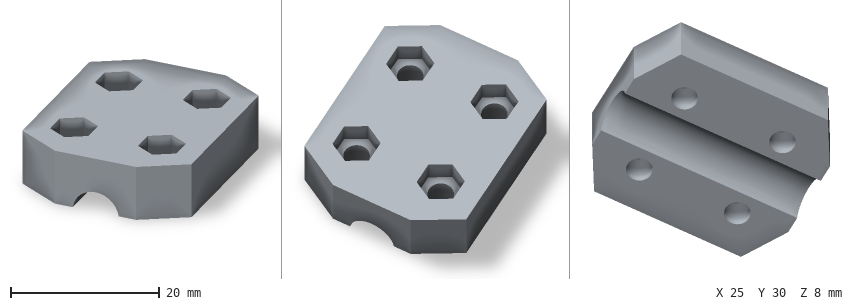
import cadquery as cq
import math

length = 30.0
width = 25.0
height = 8.0
corner_run = 6.5
corner_angle = 30.0
corner_rise = corner_run * math.tan(math.radians(corner_angle))

hole_spacing_x = 13.0
hole_spacing_y = length / 2
hole_diameter = 3.6
nut_corner_diameter = 6.5
nut_depth = 3.0

channel_radius = 3.42
channel_depth = 2.95


def make_block():
    half_x = width / 2
    half_y = length / 2
    flat_x = half_x - corner_run
    flat_y = half_y - corner_rise
    outline = [
        (half_x, flat_y),
        (flat_x, half_y),
        (-flat_x, half_y),
        (-half_x, flat_y),
        (-half_x, -flat_y),
        (-flat_x, -half_y),
        (flat_x, -half_y),
        (half_x, -flat_y),
    ]
    return cq.Workplane("XY").polyline(outline).close().extrude(height)


def make_channel():
    axis_height = channel_depth - channel_radius
    return (
        cq.Workplane("XZ")
        .center(0, axis_height)
        .circle(channel_radius)
        .extrude(length / 2, both=True)
    )


def make_bolt_cutter():
    """Through hole and nut pocket, with two pocket corners pointing along Y."""
    hole = cq.Workplane("XY").circle(hole_diameter / 2).extrude(height)
    pocket = (
        cq.Workplane("XY", origin=(0, 0, height - nut_depth))
        .polygon(6, nut_corner_diameter)
        .extrude(nut_depth)
        .rotate((0, 0, 0), (0, 0, 1), 90)
    )
    return hole.union(pocket)


result = make_block().cut(make_channel())
bolt_cutter = make_bolt_cutter()
for side_x in (-1, 1):
    for side_y in (-1, 1):
        position = (side_x * hole_spacing_x / 2, side_y * hole_spacing_y / 2, 0)
        result = result.cut(bolt_cutter.translate(position))